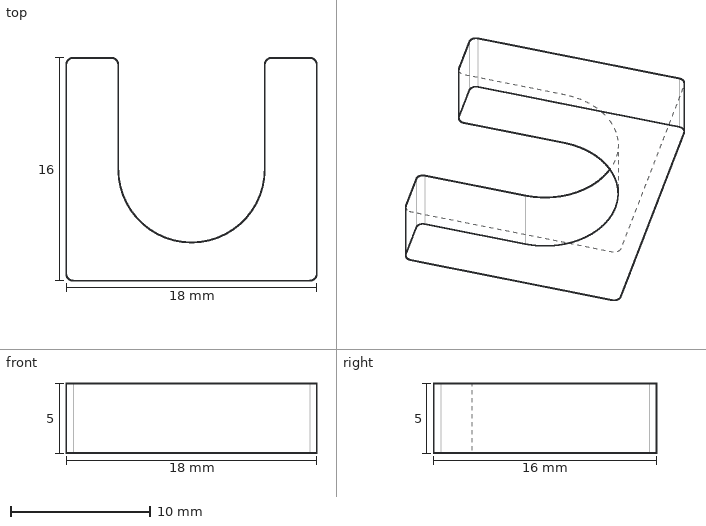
import cadquery as cq

width = 18.0
depth = 16.0
height = 5.0

slot_width = 10.5
web_thickness = 2.75

corner_radius = 0.5

slot_radius = slot_width / 2
front_y = -depth / 2
back_y = depth / 2
arc_center_y = front_y + web_thickness + slot_radius

outline = (
    cq.Workplane("XY")
    .moveTo(-width / 2, front_y)
    .lineTo(width / 2, front_y)
    .lineTo(width / 2, back_y)
    .lineTo(slot_radius, back_y)
    .lineTo(slot_radius, arc_center_y)
    .threePointArc((0, front_y + web_thickness), (-slot_radius, arc_center_y))
    .lineTo(-slot_radius, back_y)
    .lineTo(-width / 2, back_y)
    .close()
)
body = outline.extrude(height)

result = body.faces("<Y or >Y").edges("|Z").fillet(corner_radius)